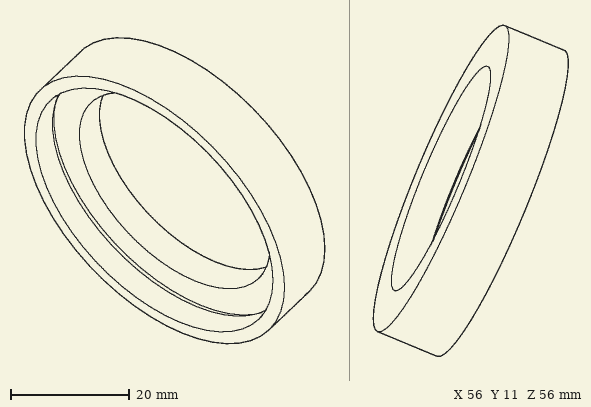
import cadquery as cq

outer_diameter = 56.0
width = 11.0
bore_diameter = 41.0
recess_diameter = 51.0
recess_depth = 5.5

groove_diameter = 52.0
groove_width = 1.0


def disc(diameter, start, length):
    """Cylinder along Y running from y = start to y = start + length."""
    return cq.Workplane("XZ", origin=(0, start, 0)).circle(diameter / 2).extrude(-length)


body = disc(outer_diameter, 0, width)
bore = disc(bore_diameter, 0, width)
front_recess = disc(recess_diameter, 0, recess_depth)
groove = disc(groove_diameter, recess_depth - groove_width, groove_width)

result = body.cut(bore).cut(front_recess).cut(groove)